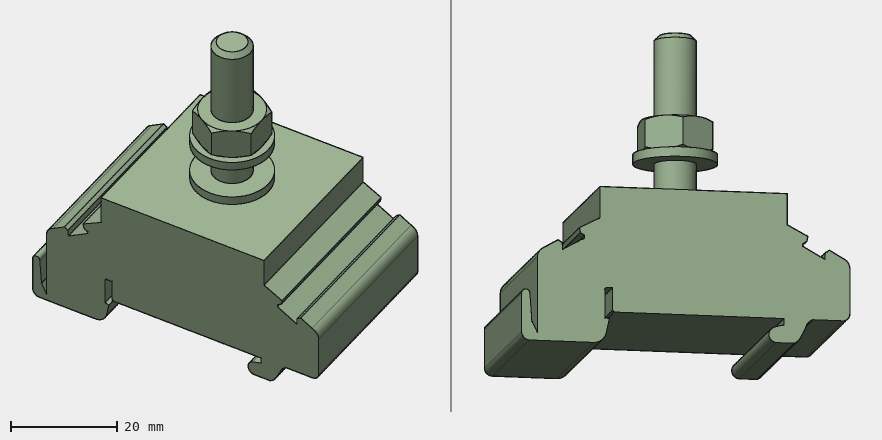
import cadquery as cq
import math

depth = 36.0
overall_width = 63.1
overall_height = 63.1
body_half_width = 30.05
block_half_width = 18.0
block_top = 30.05
shoulder_top = 24.05
base_z = 6.0
body_corner = 1.4
diagonal = math.sqrt(0.5)

tongue_outer_x = body_half_width - overall_width
tongue_width = 1.6
tongue_top = 9.8
foot_corner = 1.5
slot_left_x = -17.1
slot_right_x = -15.6
slot_top = 10.65
slot_corner = 0.3

hook_root_x = 17.35
hook_bottom = 1.3

stud_diameter = 8.0
stud_chamfer = 1.0
washer_diameter = 16.0
washer_thickness = 1.8
upper_washer_z = 38.45
nut_flats = 13.0
nut_height = 6.45
nut_chamfer_angle = math.radians(30)


def shoulder_points(side):
    """Marker groove and lip from the block down to the outer corner; side is +1 or -1."""
    half = [
        (block_half_width, shoulder_top),
        (21.95, 21.95),
        (21.8, 21.0),
        (20.95, 20.5),
        (20.95, 20.1),
        (25.2, 17.7),
        (25.3, 19.0),
        (26.05, 19.5),
        (28.6, 18.05),
    ]
    return [(side * x, z) for x, z in half]


def make_body():
    corner_start_z = 16.1
    corner_mid = (29.6, 17.3)
    arc_inset = body_corner * (1 - diagonal)
    foot_inset = foot_corner * (1 - diagonal)
    tongue_inner_x = tongue_outer_x + tongue_width
    tip_z = tongue_top - tongue_width / 2

    outline = cq.Workplane("XZ", origin=(0, depth / 2, 0))
    outline = outline.moveTo(-block_half_width, block_top).lineTo(block_half_width, block_top)

    for point in shoulder_points(1):
        outline = outline.lineTo(*point)
    outline = (
        outline.threePointArc(corner_mid, (body_half_width, corner_start_z))
        .lineTo(body_half_width, base_z + body_corner)
        .threePointArc(
            (body_half_width - arc_inset, base_z + arc_inset),
            (body_half_width - body_corner, base_z),
        )
    )

    outline = (
        outline.lineTo(22.9, base_z)
        .threePointArc((22.2, 5.55), (21.65, 4.7))
        .lineTo(20.65, 2.65)
        .threePointArc((20.15, 1.9), (19.3, hook_bottom))
        .lineTo(15.85, hook_bottom)
        .threePointArc((14.45, 2.65), (15.45, 4.3))
        .lineTo(hook_root_x, 4.8)
        .lineTo(hook_root_x, base_z)
    )

    outline = (
        outline.lineTo(slot_right_x + slot_corner, base_z)
        .lineTo(slot_right_x, base_z + slot_corner)
        .lineTo(slot_right_x, slot_top)
        .lineTo(slot_left_x + slot_corner, slot_top)
        .lineTo(slot_left_x, slot_top - slot_corner)
        .lineTo(slot_left_x, 4.85)
        .lineTo(-16.2, 4.7)
        .lineTo(-16.85, 1.8)
        .threePointArc((-17.75, 0.5), (-19.25, 0))
    )

    outline = (
        outline.lineTo(tongue_outer_x + foot_corner, 0)
        .threePointArc(
            (tongue_outer_x + foot_inset, foot_inset),
            (tongue_outer_x, foot_corner),
        )
        .lineTo(tongue_outer_x, tip_z)
        .threePointArc((tongue_outer_x + tongue_width / 2, tongue_top), (tongue_inner_x, tip_z))
        .lineTo(-31.1, 3.65)
        .lineTo(-body_half_width, 1.5)
    )

    outline = outline.lineTo(-body_half_width, corner_start_z)
    shoulder = shoulder_points(-1)
    outline = outline.threePointArc((-corner_mid[0], corner_mid[1]), shoulder[-1])
    for point in reversed(shoulder[:-1]):
        outline = outline.lineTo(*point)
    return outline.close().extrude(depth)


def disc(diameter, bottom, height):
    return cq.Workplane("XY", origin=(0, 0, bottom)).circle(diameter / 2).extrude(height)


def make_nut(bottom):
    """Hexagon with flats facing X, its corners bevelled at both ends."""
    corner_diameter = nut_flats / math.cos(math.pi / 6)
    bevel_width = (corner_diameter - nut_flats) / 2
    bevel_height = bevel_width * math.tan(nut_chamfer_angle)
    hexagon = (
        cq.Workplane("XY", origin=(0, 0, bottom))
        .transformed(rotate=(0, 0, 30))
        .polygon(6, corner_diameter)
        .extrude(nut_height)
    )
    envelope = disc(corner_diameter, bottom, nut_height)
    envelope = envelope.faces("<Z or >Z").edges().chamfer(bevel_height, bevel_width)
    return hexagon.intersect(envelope)


def make_stud():
    stud = disc(stud_diameter, block_top, overall_height - block_top)
    return stud.faces(">Z").chamfer(stud_chamfer)


result = make_body().union(make_stud())
for washer_z in (block_top, upper_washer_z):
    result = result.union(disc(washer_diameter, washer_z, washer_thickness))
result = result.union(make_nut(upper_washer_z + washer_thickness))